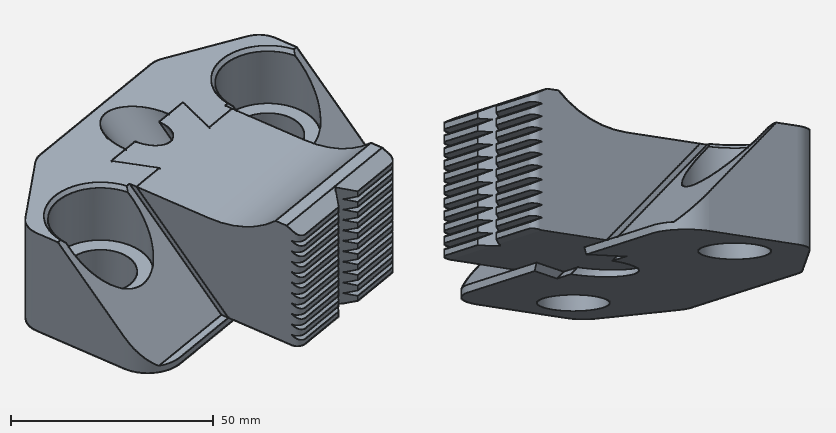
import cadquery as cq
import math

BASE_LENGTH = 55.0
BASE_WIDTH = 100.0
BASE_HEIGHT = 30.0
BACK_FACE_WIDTH = 50.0
SIDE_SLANT = 60.0
BACK_CORNER_RADIUS = 7.0
FRONT_CORNER_RADIUS = 10.0

SEAT_TOP_X = 27.0
SEAT_WIDTH = 40.0
SEAT_RISE = 1.5

MOUNT_HOLE_SPACING = 70.0
MOUNT_HOLE_DIAMETER = 18.0
COUNTERBORE_DIAMETER = 26.0
COUNTERBORE_FLOOR = 13.0
COUNTERBORE_CHAMFER = 1.0

DOVETAIL_WIDTH = 30.0
DOVETAIL_DEPTH = 8.0
DOVETAIL_ANGLE = 30.0

SPINDLE_DIAMETER = 18.0
SPINDLE_END_DEPTH = 11.6
ACCESS_HOLE_DIAMETER = 10.0
SOCKET_ACROSS_FLATS = 7.0
SOCKET_DEPTH = 6.0
SOCKET_TURN = -7.0

JAW_TIP_X = 77.0
JAW_TOP = 38.0
JAW_BOTTOM = 2.0
JAW_ARC_START_X = 49.0
JAW_ARC_RADIUS = 30.0
JAW_CREST_END_X = 72.8
JAW_CORNER_RADIUS = 2.0
TOP_TOOTH_TIP_Z = 36.0

TOOTH_PITCH = 3.2
TOOTH_COUNT = 11
GROOVE_DEPTH = 2.6
GROOVE_UNDERCUT = 0.4
NOTCH_DEPTH = 4.0

MOUNT_HOLE_Y = MOUNT_HOLE_SPACING / 2
SLANT_END_X = (BASE_WIDTH - BACK_FACE_WIDTH) / 2 / math.tan(math.radians(SIDE_SLANT))
SEAT_FOOT_X = SEAT_TOP_X + BASE_HEIGHT - JAW_BOTTOM
SPINDLE_TOP_X = SEAT_TOP_X - DOVETAIL_DEPTH * math.sqrt(2)
SLIDE_LENGTH = 2 * BASE_HEIGHT * math.sqrt(2)
TOOTH_SLOPE = (JAW_TOP - TOP_TOOTH_TIP_Z) / (JAW_TIP_X - JAW_CREST_END_X)


def slide_plane(x):
    """Plane square to the 45 degree slide through (x, 0, top of the base).

    Local X points square into the base, local Y is Y, and the normal runs down the slide.
    """
    return cq.Plane(origin=(x, 0, BASE_HEIGHT), xDir=(-1, 0, -1), normal=(1, 0, -1))


def dovetail_bar():
    """Long dovetail bar that runs along the seat well past both ends of the base."""
    wide = DOVETAIL_WIDTH / 2
    narrow = wide - DOVETAIL_DEPTH * math.tan(math.radians(DOVETAIL_ANGLE))
    return (
        cq.Workplane(slide_plane(SEAT_TOP_X))
        .polyline([(0, -narrow), (DOVETAIL_DEPTH, -wide), (DOVETAIL_DEPTH, wide), (0, narrow)])
        .close()
        .extrude(SLIDE_LENGTH, both=True)
    )


def spindle_rod(diameter, start, end):
    """Cylinder on the spindle axis between two depths measured from the top face."""
    return (
        cq.Workplane(slide_plane(SPINDLE_TOP_X))
        .workplane(offset=start)
        .circle(diameter / 2)
        .extrude(end - start)
    )


def slope_cutter(top_x, width):
    """Everything above the 45 degree slope and above the ledge at its foot."""
    foot_x = top_x + BASE_HEIGHT - JAW_BOTTOM
    return (
        cq.Workplane("XZ")
        .polyline([
            (top_x, BASE_HEIGHT),
            (foot_x, JAW_BOTTOM),
            (JAW_TIP_X, JAW_BOTTOM),
            (JAW_TIP_X, BASE_HEIGHT),
        ])
        .close()
        .extrude(width / 2, both=True)
    )


def base_block():
    half_width = BASE_WIDTH / 2
    half_back = BACK_FACE_WIDTH / 2
    block = (
        cq.Workplane("XY")
        .polyline([
            (0, -half_back),
            (SLANT_END_X, -half_width),
            (BASE_LENGTH, -half_width),
            (BASE_LENGTH, half_width),
            (SLANT_END_X, half_width),
            (0, half_back),
        ])
        .close()
        .extrude(BASE_HEIGHT)
    )
    block = block.edges("|Z and (not >X)").fillet(BACK_CORNER_RADIUS)
    return block.edges("|Z and >X").fillet(FRONT_CORNER_RADIUS)


def mount_hole_cutter(y):
    """Through hole with a counterbore whose mouth is chamfered at the top face."""
    counterbore_radius = COUNTERBORE_DIAMETER / 2
    mouth_radius = counterbore_radius + COUNTERBORE_CHAMFER
    hole_radius = MOUNT_HOLE_DIAMETER / 2
    return (
        cq.Workplane("XZ")
        .polyline([
            (0, 0),
            (hole_radius, 0),
            (hole_radius, COUNTERBORE_FLOOR),
            (counterbore_radius, COUNTERBORE_FLOOR),
            (counterbore_radius, BASE_HEIGHT - COUNTERBORE_CHAMFER),
            (mouth_radius, BASE_HEIGHT),
            (0, BASE_HEIGHT),
        ])
        .close()
        .revolve(360, (0, 0), (0, 1))
        .translate((SEAT_TOP_X, y, 0))
    )


def make_base():
    base = base_block()
    seat = slope_cutter(SEAT_TOP_X, SEAT_WIDTH)
    seat_strip = (
        cq.Workplane("XY")
        .box(2 * JAW_TIP_X, SEAT_WIDTH, 2 * BASE_HEIGHT)
        .translate((JAW_TIP_X, 0, BASE_HEIGHT))
    )
    beside_seat = slope_cutter(SEAT_TOP_X - SEAT_RISE * math.sqrt(2), BASE_WIDTH).cut(seat_strip)
    base = base.cut(seat).cut(beside_seat)
    for y in (-MOUNT_HOLE_Y, MOUNT_HOLE_Y):
        base = base.cut(mount_hole_cutter(y))
    base = base.cut(dovetail_bar())
    return base.cut(spindle_rod(SPINDLE_DIAMETER, -SLIDE_LENGTH, SLIDE_LENGTH))


def jaw_body():
    """Jaw profile swept across the seat, with the two upright tip edges rounded."""
    rise = JAW_TOP - BASE_HEIGHT
    arc_angle = math.acos(1 - rise / JAW_ARC_RADIUS)
    arc_end_x = JAW_ARC_START_X + JAW_ARC_RADIUS * math.sin(arc_angle)
    body = (
        cq.Workplane("XZ")
        .moveTo(SEAT_TOP_X, BASE_HEIGHT)
        .lineTo(JAW_ARC_START_X, BASE_HEIGHT)
        .tangentArcPoint((arc_end_x, JAW_TOP), relative=False)
        .lineTo(JAW_CREST_END_X, JAW_TOP)
        .lineTo(JAW_TIP_X, TOP_TOOTH_TIP_Z)
        .lineTo(JAW_TIP_X, JAW_BOTTOM)
        .lineTo(SEAT_FOOT_X, JAW_BOTTOM)
        .close()
        .extrude(SEAT_WIDTH / 2, both=True)
    )
    return body.edges("|Z").edges(">X").fillet(JAW_CORNER_RADIUS)


def jaw_tongue():
    """Dovetail tongue with the spindle on its back, cut level with the jaw's top and bottom faces."""
    height = BASE_HEIGHT - JAW_BOTTOM
    level_slab = (
        cq.Workplane("XY")
        .box(2 * JAW_TIP_X, SEAT_WIDTH, height)
        .translate((0, 0, JAW_BOTTOM + height / 2))
    )
    spindle = spindle_rod(SPINDLE_DIAMETER, SPINDLE_END_DEPTH, SLIDE_LENGTH)
    return dovetail_bar().union(spindle).intersect(level_slab)


def hex_socket():
    """Hexagonal key socket in the upper end of the spindle."""
    return (
        cq.Workplane(slide_plane(SPINDLE_TOP_X))
        .transformed(rotate=(0, 0, SOCKET_TURN), offset=(0, 0, SPINDLE_END_DEPTH))
        .polygon(6, SOCKET_ACROSS_FLATS, circumscribed=True)
        .extrude(SOCKET_DEPTH)
    )


def tooth_groove(apex_z):
    apex_x = JAW_TIP_X - GROOVE_DEPTH
    return (
        cq.Workplane("XZ")
        .polyline([
            (apex_x, apex_z),
            (JAW_TIP_X, apex_z + GROOVE_UNDERCUT),
            (JAW_TIP_X, apex_z - GROOVE_DEPTH * TOOTH_SLOPE),
        ])
        .close()
        .extrude(SEAT_WIDTH / 2, both=True)
    )


def v_notch():
    """Upright 90 degree notch in the middle of the jaw tip."""
    return (
        cq.Workplane("XY")
        .polyline([
            (JAW_TIP_X - NOTCH_DEPTH, 0),
            (JAW_TIP_X, -NOTCH_DEPTH),
            (JAW_TIP_X, NOTCH_DEPTH),
        ])
        .close()
        .extrude(JAW_TOP)
    )


def make_jaw():
    jaw = jaw_body().union(jaw_tongue())
    for index in range(TOOTH_COUNT):
        jaw = jaw.cut(tooth_groove(JAW_BOTTOM + index * TOOTH_PITCH))
    jaw = jaw.cut(v_notch())
    jaw = jaw.cut(spindle_rod(ACCESS_HOLE_DIAMETER, -SLIDE_LENGTH, SPINDLE_END_DEPTH))
    return jaw.cut(hex_socket())


base = make_base()
jaw = make_jaw()
result = cq.Compound.makeCompound([base.solids().val(), jaw.solids().val()])